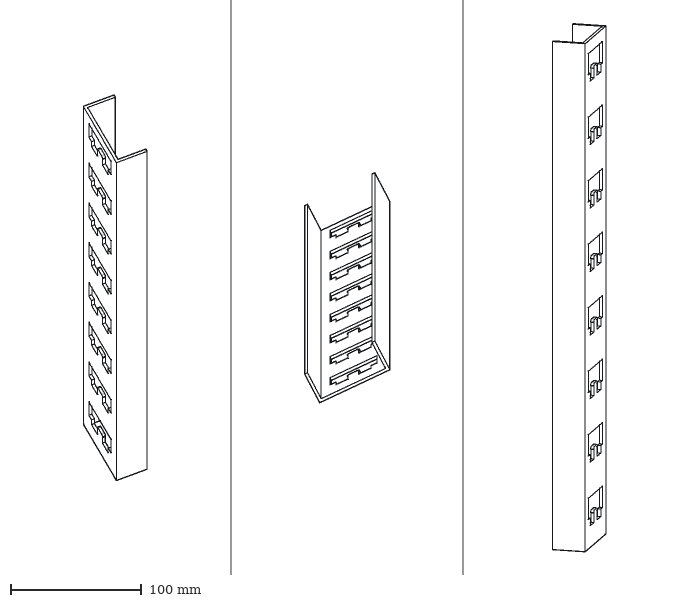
import cadquery as cq

length = 400.0
width = 60.0
depth = 26.0
thickness = 2.5

window_count = 8
window_pitch = length / window_count
window_top_margin = 10.0
window_width = 40.0
window_upper_height = 17.0
window_lower_width = 30.0
window_height = 23.0

tab_width = 9.0
tab_height = 9.5
tab_head_width = 10.5
tab_head_height = 2.0


def make_channel():
    """U-shaped profile extruded along Z, centred on X and starting at Z = 0."""
    outer = cq.Workplane("XY").box(width, depth, length, centered=(True, False, False))
    inner = (
        cq.Workplane("XY")
        .box(width - 2 * thickness, depth, length, centered=(True, False, False))
        .translate((0, thickness, 0))
    )
    return outer.cut(inner)


def make_window(top):
    """Cutter for one window whose upper edge is at Z = top."""
    step = top - window_upper_height
    bottom = top - window_height
    tab_top = bottom + tab_height
    head_base = tab_top - tab_head_height
    half_stem = tab_width / 2
    half_head = tab_head_width / 2
    half_top = half_head - tab_head_height

    return (
        cq.Workplane("XZ")
        .moveTo(-window_width / 2, top)
        .lineTo(window_width / 2, top)
        .lineTo(window_width / 2, step)
        .lineTo(window_lower_width / 2, step)
        .lineTo(window_lower_width / 2, bottom)
        .lineTo(half_stem, bottom)
        .lineTo(half_stem, head_base)
        .lineTo(half_head, head_base)
        .radiusArc((half_top, tab_top), -tab_head_height)
        .lineTo(-half_top, tab_top)
        .radiusArc((-half_head, head_base), -tab_head_height)
        .lineTo(-half_stem, head_base)
        .lineTo(-half_stem, bottom)
        .lineTo(-window_lower_width / 2, bottom)
        .lineTo(-window_lower_width / 2, step)
        .lineTo(-window_width / 2, step)
        .close()
        .extrude(-thickness)
    )


result = make_channel()
for index in range(window_count):
    result = result.cut(make_window(length - window_top_margin - index * window_pitch))